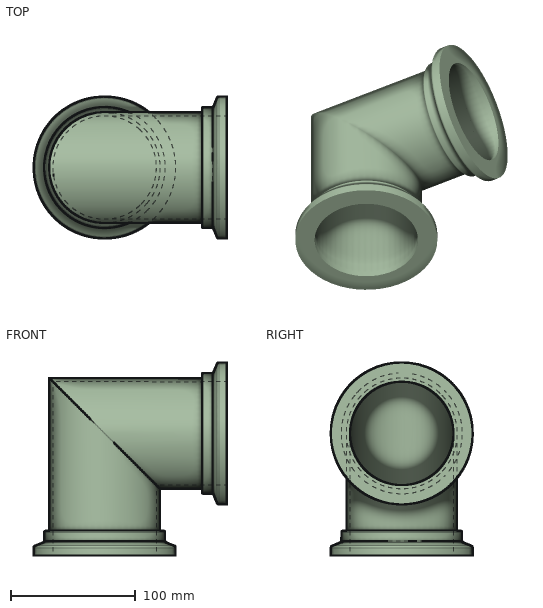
import cadquery as cq
import math


overall_length = 155.0
flange_diameter = 114.0
collar_diameter = 97.0
pipe_diameter = 89.0
bore_diameter = 83.0

ferrule_length = 20.0
rim_width = 6.2
rim_fillet = 2.0
flange_slope = 22.0
neck_fillet = 1.1
collar_fillet = 1.2

flange_radius = flange_diameter / 2
collar_radius = collar_diameter / 2
pipe_radius = pipe_diameter / 2
bore_radius = bore_diameter / 2
end_distance = overall_length - flange_radius
pipe_end = end_distance - ferrule_length
slope = math.radians(flange_slope)
rim_tangent = rim_fillet * math.tan((math.pi / 2 - slope) / 2)
rim_corner_height = rim_width + rim_tangent
neck_height = rim_corner_height + (flange_radius - collar_radius) * math.tan(slope)

EDGE_TOLERANCE = 0.02
FERRULE_ANGLES = (0, -90)


def make_leg():
    """Hollow pipe leg along -Z, cut by the mitre plane x + z = 0."""
    pipe = (
        cq.Workplane("XY", origin=(0, 0, -pipe_end))
        .circle(pipe_radius)
        .circle(bore_radius)
        .extrude(pipe_end + pipe_radius)
    )
    below_mitre = (
        cq.Workplane("XZ")
        .polyline([
            (-pipe_end, pipe_end),
            (pipe_end, -pipe_end),
            (-pipe_end, -pipe_end),
        ])
        .close()
        .extrude(pipe_radius, both=True)
    )
    return pipe.intersect(below_mitre)


def make_elbow():
    """Two equal mitred legs joined in one solid."""
    lower_leg = make_leg()
    side_leg = (
        lower_leg
        .rotate((0, 0, 0), (0, 0, 1), 180)
        .rotate((0, 0, 0), (0, 1, 0), -90)
    )
    return lower_leg.union(side_leg)


def make_ferrule(angle):
    """Ferrule at the end of the -Z leg, turned about Y to the leg it closes."""
    ferrule = (
        cq.Workplane("XZ")
        .polyline([
            (bore_radius, 0),
            (flange_radius, 0),
            (flange_radius, rim_corner_height),
            (collar_radius, neck_height),
            (collar_radius, ferrule_length),
            (bore_radius, ferrule_length),
        ])
        .close()
        .revolve(360, (0, 0, 0), (0, 1, 0))
    )
    ferrule = fillet_circle(ferrule, flange_radius, rim_corner_height, rim_fillet)
    ferrule = fillet_circle(ferrule, collar_radius, neck_height, neck_fillet)
    ferrule = fillet_circle(ferrule, collar_radius, ferrule_length, collar_fillet)
    return ferrule.translate((0, 0, -end_distance)).rotate((0, 0, 0), (0, 1, 0), angle)


def fillet_circle(body, radius, height, fillet):
    """Round the circular edge of the given radius at the given height."""
    edges = [
        edge for edge in body.edges("%CIRCLE").vals()
        if abs(edge.radius() - radius) < EDGE_TOLERANCE and abs(edge.Center().z - height) < EDGE_TOLERANCE
    ]
    return body.newObject(edges).fillet(fillet)


elbow = make_elbow()
ferrules = [make_ferrule(angle) for angle in FERRULE_ANGLES]

result = cq.Compound.makeCompound([elbow.val(), *[ferrule.val() for ferrule in ferrules]])